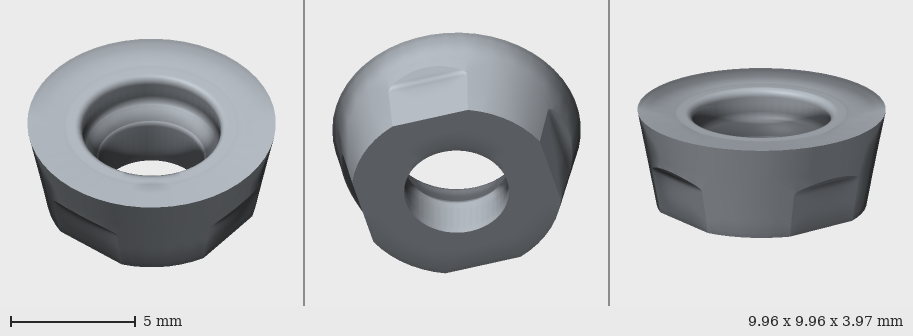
import cadquery as cq
import math

height = 3.97
top_radius = 4.98
relief_angle = 11.0
relief_slope = math.tan(math.radians(relief_angle))
bottom_radius = top_radius - height * relief_slope

dish_angle = 5.0
ring_radius = 3.47
ring_z = height - (top_radius - ring_radius) * math.tan(math.radians(dish_angle))

mouth_radius = 2.77
mouth_rounding = 0.31
wall_bottom_z = height - 1.08
seat_top_radius = 2.58
seat_top_z = height - 1.39
seat_bottom_radius = 2.19
seat_bottom_z = height - 1.89
hole_radius = 2.1
hole_top_z = height - 2.1
wall_to_seat_arc = 0.37
seat_arc = 1.2
seat_to_hole_arc = 0.29

flat_count = 4
flat_bottom_offset = 3.9
flat_corner_z = 1.96
flat_corner_offset = flat_bottom_offset + flat_corner_z * relief_slope
shoulder_run = 1.0
flat_rounding = 0.5
cutter_width = 2 * bottom_radius


def make_body():
    """Revolve the half section, bore included, about Z."""
    mouth_top_radius = mouth_radius + mouth_rounding
    section = (
        cq.Workplane("XZ")
        .moveTo(hole_radius, 0)
        .lineTo(bottom_radius, 0)
        .lineTo(top_radius, height)
        .lineTo(ring_radius, ring_z)
        .lineTo(mouth_top_radius, ring_z)
        .radiusArc((mouth_radius, ring_z - mouth_rounding), -mouth_rounding)
        .lineTo(mouth_radius, wall_bottom_z)
        .radiusArc((seat_top_radius, seat_top_z), wall_to_seat_arc)
        .radiusArc((seat_bottom_radius, seat_bottom_z), -seat_arc)
        .radiusArc((hole_radius, hole_top_z), -seat_to_hole_arc)
        .close()
    )
    return section.revolve(360, (0, 0), (0, 1))


def make_flat_cutter():
    """Prism outside one flat, its upper inner corner rounded into the shoulder."""
    outer_offset = flat_corner_offset + shoulder_run
    cutter = (
        cq.Workplane("XZ")
        .moveTo(flat_bottom_offset, 0)
        .lineTo(flat_corner_offset, flat_corner_z)
        .lineTo(outer_offset, flat_corner_z + shoulder_run)
        .lineTo(outer_offset, 0)
        .close()
        .extrude(cutter_width / 2, both=True)
    )
    corner = cq.selectors.NearestToPointSelector((flat_corner_offset, 0, flat_corner_z))
    return cutter.edges("|Y").edges(corner).fillet(flat_rounding)


result = make_body()
flat_cutter = make_flat_cutter()
for index in range(flat_count):
    result = result.cut(flat_cutter.rotate((0, 0, 0), (0, 0, 1), index * 360 / flat_count))